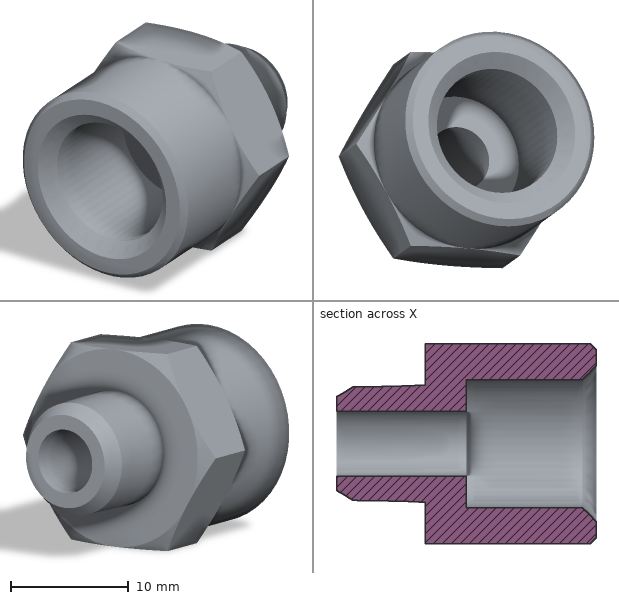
import cadquery as cq
import math

total_length = 22.0
body_length = 8.5
hex_length = 6.0
across_flats = 17.0
body_radius = across_flats / 2
body_chamfer = 0.5

spigot_root_radius = 5.0
spigot_shoulder_radius = 4.85
spigot_tip_radius = 4.0
spigot_tip_length = 1.39

bore_radius = 5.41
bore_depth = 11.0
countersink_radius = 6.6
countersink_depth = countersink_radius - bore_radius
through_radius = 2.75

corner_chamfer_angle = math.radians(30)
hex_corner_radius = across_flats / math.sqrt(3)
corner_chamfer_length = (hex_corner_radius - body_radius) * math.tan(corner_chamfer_angle)

front_y = -total_length / 2
hex_front_y = front_y + body_length
hex_back_y = hex_front_y + hex_length
tip_y = total_length / 2


def revolved(profile):
    """Revolve a closed (radius, y) profile around the Y axis."""
    return cq.Workplane("XY").polyline(profile).close().revolve(360, (0, 0, 0), (0, 1, 0))


def chamfered_hexagon():
    """Hexagon with corners on the X axis, trimmed by a cone at each end."""
    prism = (
        cq.Workplane("XZ", origin=(0, hex_back_y, 0))
        .polygon(6, 2 * hex_corner_radius)
        .extrude(hex_length)
    )
    envelope = revolved([
        (0, hex_front_y),
        (body_radius, hex_front_y),
        (hex_corner_radius, hex_front_y + corner_chamfer_length),
        (hex_corner_radius, hex_back_y - corner_chamfer_length),
        (body_radius, hex_back_y),
        (0, hex_back_y),
    ])
    return prism.intersect(envelope)


def socket_body():
    return revolved([
        (0, front_y),
        (body_radius - body_chamfer, front_y),
        (body_radius, front_y + body_chamfer),
        (body_radius, hex_front_y),
        (0, hex_front_y),
    ])


def spigot():
    return revolved([
        (0, hex_back_y),
        (spigot_root_radius, hex_back_y),
        (spigot_shoulder_radius, tip_y - spigot_tip_length),
        (spigot_tip_radius, tip_y),
        (0, tip_y),
    ])


def passage():
    """Flared bore from the front, narrowing to a hole through the spigot."""
    return revolved([
        (0, front_y),
        (countersink_radius, front_y),
        (bore_radius, front_y + countersink_depth),
        (bore_radius, front_y + bore_depth),
        (through_radius, front_y + bore_depth),
        (through_radius, tip_y),
        (0, tip_y),
    ])


result = chamfered_hexagon().union(socket_body()).union(spigot()).cut(passage())